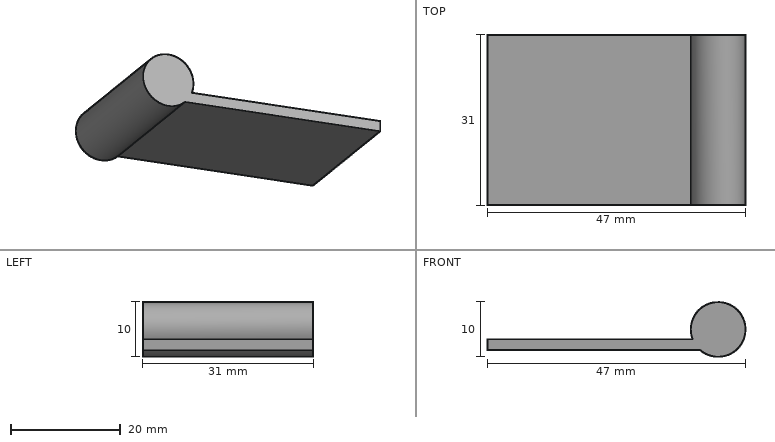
import cadquery as cq

barrel_diameter = 10.0
overall_length = 47.0
width = 31.0
plate_thickness = 2.0
plate_top_drop = 1.75

barrel_radius = barrel_diameter / 2
plate_length = overall_length - barrel_radius
plate_bottom = -plate_top_drop - plate_thickness


def make_barrel():
    """Solid cylinder along Y, with its axis through the origin."""
    return cq.Workplane("XZ").circle(barrel_radius).extrude(width / 2, both=True)


def make_plate():
    """Flat leaf running from its free edge on the -X side to below the barrel axis."""
    return cq.Workplane("XY").box(
        plate_length, width, plate_thickness, centered=(False, True, False)
    ).translate((-plate_length, 0, plate_bottom))


result = make_barrel().union(make_plate())